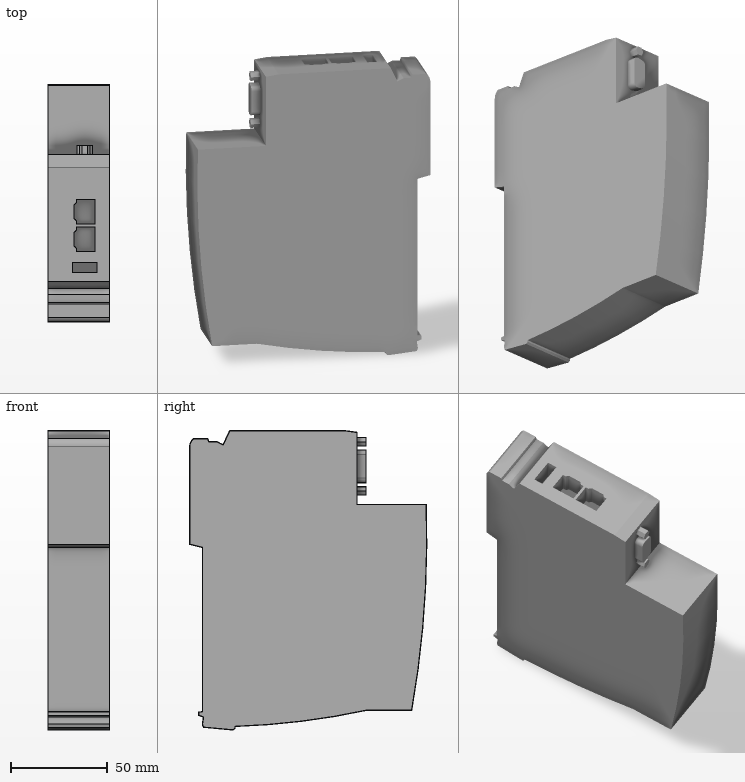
import cadquery as cq
import math

WIDTH = 31.85
DEPTH = 121.99
HEIGHT = 154.42

NOSE_TOP_Z = 150.3
NOSE_TOP_BACK_Y = 9.3
NOSE_BOTTOM_Z = 95.7
WALL_Y = 6.6
WALL_TOP_Z = 94.1

GROOVE_FLAT_Z = 148.7
GROOVE_FLAT_FRONT_Y = 9.9
GROOVE_FLAT_BACK_Y = 14.0
GROOVE_BOTTOM = (17.2, 147.1)

TOP_FRONT_Y = 20.7
TOP_SLOPE_START_Y = 79.6
TOP_BACK_Y = 86.3
TOP_BACK_Z = 153.5
LEDGE_Z = 116.3

BACK_ARC_POINT = (119.5, 45.5)
BOTTOM_BACK_Y = 114.5
BOTTOM_Z = 10.1
BOTTOM_ARC_START_Y = 91.0
BOTTOM_ARC_POINT = (57.9, 4.5)
FOOT_BACK_Y = 23.4
BOTTOM_ARC_END_Z = 1.8

FOOT_BACK_CHAMFER_Z = 0.9
FOOT_LOW_Y = 22.3
FOOT_FRONT_LOW = (7.1, 1.4)
FOOT_FRONT = (6.5, 3.0)

NOTCH_CORNER = (7.1, 6.6)
RIB_TIP_Y = 4.6
RIB_TIP_BOTTOM_Z = 7.6
RIB_TOP_Z = 9.5
RIB_EDGE_DROP = 0.2

NOSE_ARC_RADIUS = 4.9
NOSE_ARC_BOTTOM_Z = 146.2
NOSE_ARC_CENTER_Y = NOSE_ARC_RADIUS
NOSE_ARC_SWEEP = math.asin((NOSE_TOP_Z - NOSE_ARC_BOTTOM_Z) / NOSE_ARC_RADIUS)

FEATURE_X = 3.1
SOCKET_DEPTH = 12.0
JACK_WIDTH = 10.7
JACK_LENGTH = 12.8
JACK_RIGHT_X = 8.35
JACK_CENTERS_Y = (42.6, 56.8)
LATCH_DEPTH = 1.2
LATCH_OUTER_LENGTH = 7.0
LATCH_INNER_LENGTH = 9.4
SLOT_WIDTH = 12.75
SLOT_LENGTH = 5.1
SLOT_CENTER_Y = 28.05

CONNECTOR_Z = 135.95
CONNECTOR_PROJECTION = 4.7
SHELL_LENGTH = 17.0
SHELL_WIDTH = 8.0
SHELL_TAPER = math.radians(10)
SHELL_CORNER_RADIUS = 2.4
NUT_SPACING = 25.3
NUT_ACROSS_FLATS = 4.5


def nose_arc_point(angle):
    """Point (Y, Z) on the nose arc; zero is where it meets the front face."""
    y = NOSE_ARC_CENTER_Y - NOSE_ARC_RADIUS * math.cos(angle)
    z = NOSE_ARC_BOTTOM_Z + NOSE_ARC_RADIUS * math.sin(angle)
    return (y, z)


def housing():
    """Side profile in the YZ plane, extruded across the width."""
    profile = (
        cq.Workplane("YZ")
        .moveTo(0, NOSE_ARC_BOTTOM_Z)
        .threePointArc(nose_arc_point(NOSE_ARC_SWEEP / 2), nose_arc_point(NOSE_ARC_SWEEP))
        .lineTo(NOSE_TOP_BACK_Y, NOSE_TOP_Z)
        .lineTo(GROOVE_FLAT_FRONT_Y, GROOVE_FLAT_Z)
        .lineTo(GROOVE_FLAT_BACK_Y, GROOVE_FLAT_Z)
        .lineTo(*GROOVE_BOTTOM)
        .lineTo(TOP_FRONT_Y, HEIGHT)
        .lineTo(TOP_SLOPE_START_Y, HEIGHT)
        .lineTo(TOP_BACK_Y, TOP_BACK_Z)
        .lineTo(TOP_BACK_Y, LEDGE_Z)
        .lineTo(DEPTH, LEDGE_Z)
        .threePointArc(BACK_ARC_POINT, (BOTTOM_BACK_Y, BOTTOM_Z))
        .lineTo(BOTTOM_ARC_START_Y, BOTTOM_Z)
        .threePointArc(BOTTOM_ARC_POINT, (FOOT_BACK_Y, BOTTOM_ARC_END_Z))
        .lineTo(FOOT_BACK_Y, FOOT_BACK_CHAMFER_Z)
        .lineTo(FOOT_LOW_Y, 0)
        .lineTo(*FOOT_FRONT_LOW)
        .lineTo(*FOOT_FRONT)
        .lineTo(*NOTCH_CORNER)
        .lineTo(RIB_TIP_Y, RIB_TIP_BOTTOM_Z)
        .lineTo(RIB_TIP_Y, RIB_TOP_Z - RIB_EDGE_DROP)
        .lineTo(WALL_Y, RIB_TOP_Z)
        .lineTo(WALL_Y, WALL_TOP_Z)
        .lineTo(0, NOSE_BOTTOM_Z)
        .close()
    )
    return profile.extrude(WIDTH / 2, both=True)


def jack_socket(center_y):
    """Modular jack opening with a tapered latch recess on its -X side."""
    left_x = JACK_RIGHT_X - JACK_WIDTH
    inner_x = left_x + LATCH_DEPTH
    half = JACK_LENGTH / 2
    inner = LATCH_INNER_LENGTH / 2
    outer = LATCH_OUTER_LENGTH / 2
    outline = [
        (JACK_RIGHT_X, -half),
        (JACK_RIGHT_X, half),
        (inner_x, half),
        (inner_x, inner),
        (left_x, outer),
        (left_x, -outer),
        (inner_x, -inner),
        (inner_x, -half),
    ]
    return (
        cq.Workplane("XY", origin=(0, center_y, HEIGHT))
        .polyline(outline)
        .close()
        .extrude(-SOCKET_DEPTH)
    )


def slot_socket():
    """Plain rectangular opening in front of the jacks."""
    return (
        cq.Workplane("XY", origin=(FEATURE_X, SLOT_CENTER_Y, HEIGHT))
        .rect(SLOT_WIDTH, SLOT_LENGTH)
        .extrude(-SOCKET_DEPTH)
    )


def back_face_plane(z):
    """Sketch plane on the back face: local x is global Z, local y is global X, normal +Y."""
    return cq.Plane(origin=(FEATURE_X, TOP_BACK_Y, z), xDir=(0, 0, 1), normal=(0, 1, 0))


def connector_shell():
    """D-shaped shell, narrow side towards -X."""
    corner_setback = SHELL_CORNER_RADIUS * (1 / math.tan(math.pi / 4 - SHELL_TAPER / 2) - 1)
    wide = SHELL_LENGTH / 2 + corner_setback
    narrow = wide - SHELL_WIDTH * math.tan(SHELL_TAPER)
    half_width = SHELL_WIDTH / 2
    outline = [
        (-narrow, -half_width),
        (narrow, -half_width),
        (wide, half_width),
        (-wide, half_width),
    ]
    return (
        cq.Workplane(back_face_plane(CONNECTOR_Z))
        .polyline(outline)
        .close()
        .extrude(CONNECTOR_PROJECTION)
        .edges("|Y")
        .fillet(SHELL_CORNER_RADIUS)
    )


def hex_nut(z):
    """Hexagonal screw post with its corners pointing along X."""
    across_corners = NUT_ACROSS_FLATS / math.cos(math.pi / 6)
    radius = across_corners / 2
    corners = []
    for corner in range(6):
        angle = math.pi / 2 + corner * math.pi / 3
        corners.append((radius * math.cos(angle), radius * math.sin(angle)))
    return (
        cq.Workplane(back_face_plane(z))
        .polyline(corners)
        .close()
        .extrude(CONNECTOR_PROJECTION)
    )


result = housing()
for jack_y in JACK_CENTERS_Y:
    result = result.cut(jack_socket(jack_y))
result = result.cut(slot_socket())
result = result.union(connector_shell())
for side in (-1, 1):
    result = result.union(hex_nut(CONNECTOR_Z + side * NUT_SPACING / 2))